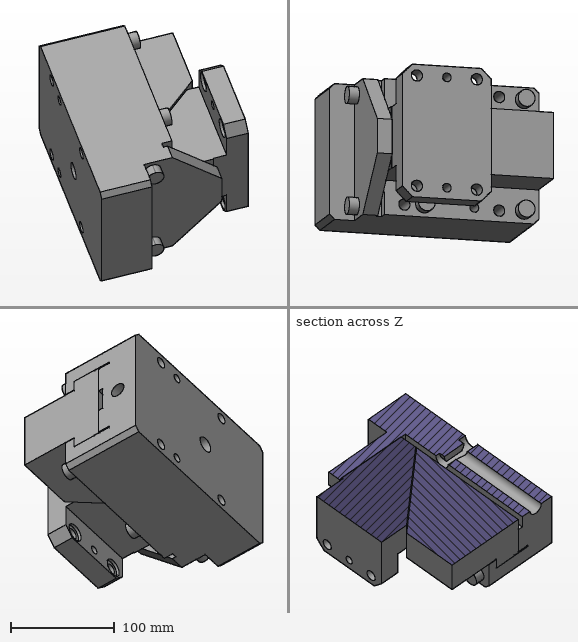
import cadquery as cq
import math


LENGTH = 200.0
HEIGHT = 134.0
DECK_Y = 85.0
CORNER_CHAMFER = 5.0
FOOT_LENGTH = 25.0
FOOT_TOP_Y = 50.8
BODY_END_X = LENGTH - FOOT_LENGTH

STOP_THICKNESS = 15.0
STOP_X = BODY_END_X - STOP_THICKNESS
STOP_TOP_Y = 129.2
STOP_CHAMFER = 50.0

LIP_DEPTH = 10.0
SLOT_DEPTH = 40.0
SLOT_FLOOR_Y = DECK_Y - SLOT_DEPTH
MOUTH_HALF_HEIGHT = 33.2
SLOT_HALF_HEIGHT = 44.8
KEYWAY_DEPTH = 5.0
KEYWAY_HALF_HEIGHT = 13.5
SLIT_DEPTH = 12.5
SLIT_WIDTH = 1.5
RELIEF_WIDTH = 5.0

MOUNT_HOLE_XS = (40.0, 135.0)
MOUNT_HOLE_Z = 56.0
MOUNT_HOLE_DIAMETER = 11.0
DOWEL_HOLE_X = 65.0
DOWEL_HOLE_Z = 54.5
DOWEL_HOLE_DIAMETER = 9.0
BORE_Y = 21.8
BORE_DIAMETER = 15.0
PORT_X = 109.8
PORT_DIAMETER = 16.5
ROD_RADIUS = 13.2
ROD_END_X = 111.5

HEAD_DIAMETER = 16.8
HEAD_HEIGHT = 10.0
HEAD_Z = 54.5
DECK_HEAD_XS = (15.5, 115.5)
END_HEAD_Y = FOOT_TOP_Y + HEAD_DIAMETER / 2

WEDGE_ANGLE = 40.7
SLIDE_TOP_Y = 135.0
SLIDE_TOP_LENGTH = 62.5
SLIDE_HALF_HEIGHT = 32.5
SLIDE_RELIEF_WIDTH = 0.5
SLIDE_RELIEF_HEIGHT = 5.5

WEDGE_GAP = 0.8
CARRIER_TOP_Y = 161.0
CARRIER_HALF_HEIGHT = 30.5
FLANGE_THICKNESS = 22.0
FLANGE_Y = CARRIER_TOP_Y - FLANGE_THICKNESS
FLANGE_X = 70.0
FLANGE_LENGTH = 89.0
FLANGE_END_X = FLANGE_X + FLANGE_LENGTH
FLANGE_HALF_HEIGHT = 65.5
FLANGE_CHAMFER = 10.0
GUIDE_TOP_Y = 125.5
FLANGE_HOLE_Z = 54.5
FLANGE_HOLE_PITCH = 30.0
FLANGE_HOLE_DIAMETER = 11.0
COUNTERBORE_DIAMETER = 18.5
COUNTERBORE_DEPTH = 3.0
CENTRE_HOLE_DIAMETER = 8.5


def block(x_range, y_range, half_height):
    """Box symmetric about Z = 0."""
    (x0, x1), (y0, y1) = x_range, y_range
    corner = cq.Workplane("XY", origin=(x0, y0, 0))
    return corner.box(x1 - x0, y1 - y0, 2 * half_height, centered=(False, False, True))


def prism(points, half_height):
    """Outline in X and Y, extruded symmetrically about Z = 0."""
    return cq.Workplane("XY").polyline(points).close().extrude(half_height, both=True)


def cylinder_y(x, z, diameter, y0, y1):
    """Cylinder along +Y from y0 to y1."""
    return cq.Workplane(cq.Solid.makeCylinder(diameter / 2, y1 - y0, cq.Vector(x, y0, z), cq.Vector(0, 1, 0)))


def cylinder_x(y, z, diameter, x0, x1):
    """Cylinder along +X from x0 to x1."""
    return cq.Workplane(cq.Solid.makeCylinder(diameter / 2, x1 - x0, cq.Vector(x0, y, z), cq.Vector(1, 0, 0)))


def wedge_x(y):
    """X of the sloping slide face at height y."""
    return SLIDE_TOP_LENGTH + (SLIDE_TOP_Y - y) * math.tan(math.radians(WEDGE_ANGLE))


def housing_block():
    """Chamfered block with the foot ledge and the end stop."""
    base = block((0, LENGTH), (0, DECK_Y), HEIGHT / 2).edges("|Y").chamfer(CORNER_CHAMFER)
    stop = block((STOP_X, BODY_END_X), (0, STOP_TOP_Y), HEIGHT / 2)
    stop = stop.faces(">Y").edges("|X").chamfer(STOP_CHAMFER)
    foot_space = block((BODY_END_X, LENGTH), (FOOT_TOP_Y, DECK_Y), HEIGHT / 2)
    stop_seat = block((STOP_X, BODY_END_X), (FOOT_TOP_Y, DECK_Y), HEIGHT / 2)
    return base.cut(foot_space).cut(stop_seat).union(stop)


def slot_space():
    """T-slot with its keyway, side slits and the relief notches in the lips."""
    space = block((0, STOP_X), (SLOT_FLOOR_Y, DECK_Y), MOUTH_HALF_HEIGHT)
    space = space.union(block((0, STOP_X), (SLOT_FLOOR_Y, DECK_Y - LIP_DEPTH), SLOT_HALF_HEIGHT))
    space = space.union(block((0, STOP_X), (SLOT_FLOOR_Y - KEYWAY_DEPTH, SLOT_FLOOR_Y), KEYWAY_HALF_HEIGHT))
    slit_range = (SLOT_FLOOR_Y - SLIT_DEPTH, SLOT_FLOOR_Y)
    slits = block((0, STOP_X), slit_range, SLOT_HALF_HEIGHT).cut(
        block((0, STOP_X), slit_range, SLOT_HALF_HEIGHT - SLIT_WIDTH)
    )
    relief_ranges = (STOP_X - RELIEF_WIDTH, STOP_X), (DECK_Y - LIP_DEPTH, DECK_Y)
    notches = block(*relief_ranges, HEIGHT / 2).cut(block(*relief_ranges, SLOT_HALF_HEIGHT))
    return space.union(slits).union(notches)


def port_space():
    """Port from the -Y face up to the keyway, partly blocked by the rod."""
    port = cylinder_y(PORT_X, 0, PORT_DIAMETER, 0, SLOT_FLOOR_Y)
    return port.cut(cylinder_x(BORE_Y, 0, 2 * ROD_RADIUS, ROD_END_X, BODY_END_X))


def make_housing():
    """Block with its T-slot, bores and holes, and the fixed screw heads."""
    body = housing_block().cut(slot_space())
    body = body.cut(cylinder_x(BORE_Y, 0, BORE_DIAMETER, 0, ROD_END_X)).cut(port_space())
    for side in (-1, 1):
        for x in MOUNT_HOLE_XS:
            body = body.cut(cylinder_y(x, side * MOUNT_HOLE_Z, MOUNT_HOLE_DIAMETER, 0, DECK_Y))
        body = body.cut(cylinder_y(DOWEL_HOLE_X, side * DOWEL_HOLE_Z, DOWEL_HOLE_DIAMETER, 0, DECK_Y))
        for x in DECK_HEAD_XS:
            body = body.union(cylinder_y(x, side * HEAD_Z, HEAD_DIAMETER, DECK_Y, DECK_Y + HEAD_HEIGHT))
        body = body.union(
            cylinder_x(END_HEAD_Y, side * HEAD_Z, HEAD_DIAMETER, BODY_END_X, BODY_END_X + HEAD_HEIGHT)
        )
    return body


def make_slide():
    """T-section bar whose +X end is cut to the wedge slope."""
    floor_end = wedge_x(SLOT_FLOOR_Y)
    bar = block((0, floor_end), (SLOT_FLOOR_Y, SLIDE_TOP_Y), SLIDE_HALF_HEIGHT)
    foot_bottom = SLOT_FLOOR_Y + SLIDE_RELIEF_HEIGHT
    bar = bar.union(block((0, floor_end), (foot_bottom, DECK_Y - LIP_DEPTH), SLOT_HALF_HEIGHT))
    bar = bar.union(block((0, floor_end), (SLOT_FLOOR_Y, foot_bottom), SLOT_HALF_HEIGHT - SLIDE_RELIEF_WIDTH))
    side_profile = [
        (0, SLOT_FLOOR_Y),
        (floor_end, SLOT_FLOOR_Y),
        (SLIDE_TOP_LENGTH, SLIDE_TOP_Y),
        (0, SLIDE_TOP_Y),
    ]
    return bar.intersect(prism(side_profile, SLOT_HALF_HEIGHT))


def make_carrier():
    """Wedge-shaped stem between slide and end stop, with the drilled flange on top."""
    stem_tip_y = SLIDE_TOP_Y - (FLANGE_X - WEDGE_GAP - SLIDE_TOP_LENGTH) / math.tan(math.radians(WEDGE_ANGLE))
    stem = prism(
        [
            (FLANGE_X, FLANGE_Y),
            (FLANGE_X, stem_tip_y),
            (wedge_x(SLOT_FLOOR_Y) + WEDGE_GAP, SLOT_FLOOR_Y),
            (STOP_X, SLOT_FLOOR_Y),
            (STOP_X, GUIDE_TOP_Y),
            (FLANGE_END_X, GUIDE_TOP_Y),
            (FLANGE_END_X, FLANGE_Y),
        ],
        CARRIER_HALF_HEIGHT,
    )
    flange = block((FLANGE_X, FLANGE_END_X), (FLANGE_Y, CARRIER_TOP_Y), FLANGE_HALF_HEIGHT)
    body = flange.edges("|Y").chamfer(FLANGE_CHAMFER).union(stem)
    centre_x = FLANGE_X + FLANGE_LENGTH / 2
    for z in (-FLANGE_HOLE_Z, FLANGE_HOLE_Z):
        body = body.cut(cylinder_y(centre_x, z, CENTRE_HOLE_DIAMETER, FLANGE_Y, CARRIER_TOP_Y))
        for x in (centre_x - FLANGE_HOLE_PITCH, centre_x + FLANGE_HOLE_PITCH):
            body = body.cut(cylinder_y(x, z, FLANGE_HOLE_DIAMETER, FLANGE_Y, CARRIER_TOP_Y))
            body = body.cut(cylinder_y(x, z, COUNTERBORE_DIAMETER, FLANGE_Y, FLANGE_Y + COUNTERBORE_DEPTH))
    return body


housing = make_housing()
slide = make_slide()
carrier = make_carrier()

result = cq.Compound.makeCompound([body.solids().val() for body in (housing, slide, carrier)])